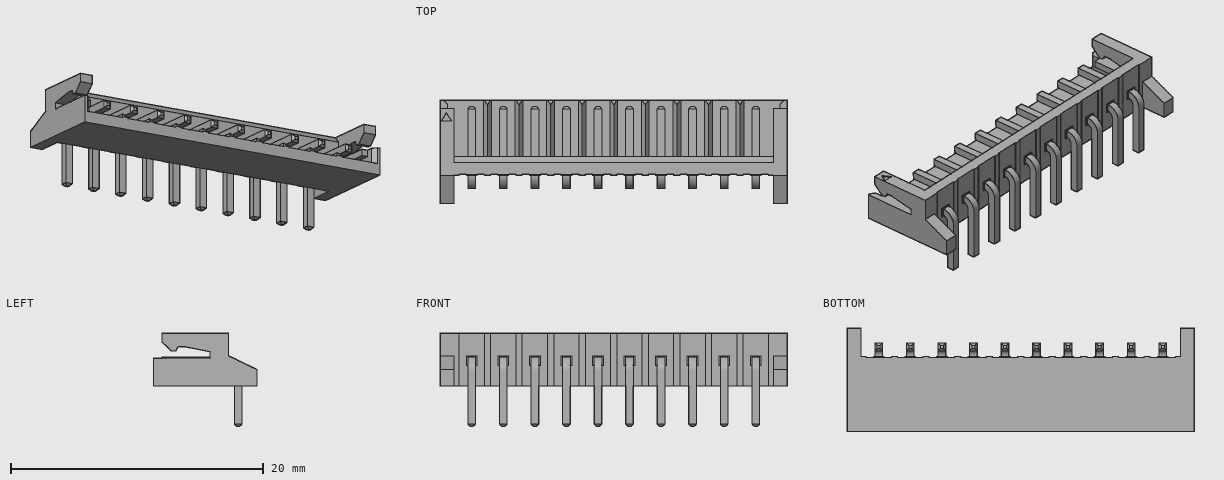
import cadquery as cq
import math


pin_count = 10
pitch = 2.5
pin_size = 0.62
pin_top = 2.31
pin_tip_taper = 0.19
pin_bend_radius = 1.06
pin_foot = -3.2
pin_end_setback = 0.5

housing_length = 27.5
half_length = housing_length / 2
overall_depth = 8.2
housing_top = 4.2
mating_edge = 5.96
floor_top = 0.92
wall_back = 1.5
wall_chamfer = 0.5
pad_gap = 0.5
recess_depth = 0.08

collar_width = 0.86
collar_bottom = 1.62
collar_top = 2.37

end_width = 1.1
side_rail_width = 0.58
side_rail_top = 2.22
side_rail_chamfer = 0.33
ledge_end = mating_edge - 0.95
ledge_thickness = 0.54
foot_front = mating_edge - overall_depth
foot_root_top = 2.4
foot_toe_top = 1.32

arm_end = mating_edge - 0.66
arm_end_bottom = 3.5
hook_bottom = 2.77
hook_outer = mating_edge - 1.42
hook_inner = mating_edge - 1.77
arm_bottom = 3.11
arm_flat_outer = mating_edge - 1.95
arm_flat_inner = mating_edge - 2.5
arm_root_bottom = 2.72

ridge_width = 0.62
ridge_height = 0.44
ridge_end_slope = 0.37

mark_base = 0.8
mark_height = 0.65
mark_depth = 0.1
mark_x = -half_length + 0.5
mark_y = mating_edge - 1.66

pin_positions = [(i - (pin_count - 1) / 2) * pitch for i in range(pin_count)]
ridge_positions = [x + pitch / 2 for x in pin_positions[:-1]]


def extrude_along_x(points, x_start, width):
    """Extrude a closed outline of (Y, Z) points along +X."""
    return cq.Workplane("YZ", origin=(x_start, 0, 0)).polyline(points).close().extrude(width)


def box(x_range, y_range, z_range):
    """Make a box from its lower and upper limits on each axis."""
    size = [high - low for low, high in (x_range, y_range, z_range)]
    corner = (x_range[0], y_range[0], z_range[0])
    return cq.Workplane("XY").box(*size, centered=False).translate(corner)


def make_floor_and_wall():
    outline = [
        (0, 0),
        (mating_edge, 0),
        (mating_edge, floor_top),
        (wall_back, floor_top),
        (wall_back, housing_top - wall_chamfer),
        (wall_back - wall_chamfer, housing_top),
        (0, housing_top),
    ]
    body = extrude_along_x(outline, -half_length, housing_length)
    recess_half = (pitch - pad_gap) / 2
    for x in pin_positions:
        body = body.cut(box((x - recess_half, x + recess_half), (0, recess_depth), (0, housing_top)))
    return body


def make_left_end():
    """Side rail, ledge, latch arm and foot at the -X end."""
    rail = box((-half_length, -half_length + side_rail_width), (0, mating_edge), (0, side_rail_top))
    rail = rail.edges("|Z and >X and >Y").chamfer(side_rail_chamfer)
    ledge = box(
        (-half_length, -half_length + end_width),
        (0, ledge_end),
        (side_rail_top - ledge_thickness, side_rail_top),
    )
    arm_outline = [
        (0, housing_top),
        (arm_end, housing_top),
        (arm_end, arm_end_bottom),
        (hook_outer, hook_bottom),
        (hook_inner, hook_bottom),
        (arm_flat_outer, arm_bottom),
        (arm_flat_inner, arm_bottom),
        (wall_back, arm_root_bottom),
        (wall_back, 0),
        (foot_front, 0),
        (foot_front, foot_toe_top),
        (0, foot_root_top),
    ]
    return extrude_along_x(arm_outline, -half_length, end_width).union(rail).union(ledge)


def make_ridge():
    """Roof-shaped ridge centred on X = 0, with a sloped mating end."""
    peak = floor_top + ridge_height
    ridge = (
        cq.Workplane("XZ", origin=(0, mating_edge, 0))
        .polyline([
            (-ridge_width / 2, 0),
            (ridge_width / 2, 0),
            (ridge_width / 2, floor_top),
            (0, peak),
            (-ridge_width / 2, floor_top),
        ])
        .close()
        .extrude(mating_edge - wall_back)
    )
    end_cut = [
        (mating_edge, peak),
        (mating_edge - ridge_end_slope, peak),
        (mating_edge, peak - ridge_end_slope),
    ]
    return ridge.cut(extrude_along_x(end_cut, -ridge_width / 2, ridge_width))


def make_pin():
    """Square pin centred on X = 0 with its collar."""
    inner_radius = pin_bend_radius - pin_size
    pin_end = mating_edge - pin_end_setback
    bend_bottom = pin_top - pin_bend_radius
    outer_mid = pin_bend_radius * math.cos(math.pi / 4)
    inner_mid = inner_radius * math.cos(math.pi / 4)
    pin = (
        cq.Workplane("YZ", origin=(-pin_size / 2, 0, 0))
        .moveTo(pin_end, pin_top)
        .lineTo(0, pin_top)
        .threePointArc((-outer_mid, bend_bottom + outer_mid), (-pin_bend_radius, bend_bottom))
        .lineTo(-pin_bend_radius, pin_foot)
        .lineTo(-inner_radius, pin_foot)
        .lineTo(-inner_radius, bend_bottom)
        .threePointArc((-inner_mid, bend_bottom + inner_mid), (0, pin_top - pin_size))
        .lineTo(pin_end, pin_top - pin_size)
        .close()
        .extrude(pin_size)
    )
    pin = pin.faces("<Z or >Y").chamfer(pin_tip_taper)
    collar = box((-collar_width / 2, collar_width / 2), (0, wall_back), (collar_bottom, collar_top))
    return pin.union(collar)


def make_pin_one_mark():
    return (
        cq.Workplane("XY", origin=(mark_x, mark_y, housing_top - mark_depth))
        .polyline([(-mark_base / 2, 0), (mark_base / 2, 0), (0, mark_height)])
        .close()
        .extrude(mark_depth)
    )


left_end = make_left_end()
ridge = make_ridge()
pin = make_pin()

result = make_floor_and_wall().union(left_end).union(left_end.mirror("YZ"))
for x in ridge_positions:
    result = result.union(ridge.translate((x, 0, 0)))
for x in pin_positions:
    result = result.union(pin.translate((x, 0, 0)))
result = result.cut(make_pin_one_mark())